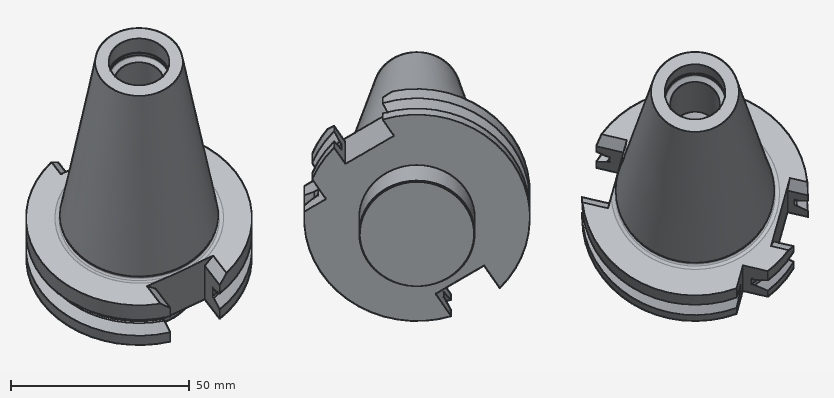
import cadquery as cq
import math

total_height = 98.25

flange_diameter = 63.5
flange_bottom = 11.2
flange_top = 29.0

groove_floor_diameter = 56.0
groove_bottom = 17.2
groove_top = 20.9
lower_land_top = 15.4
upper_land_bottom = 22.5
flank_angle = 60.0

gauge_diameter = 44.5
gauge_height = 30.1
taper_ratio = 7 / 24
neck_diameter = 43.8
neck_fillet = 0.6
relief_diameter = 47.4
relief_depth = 0.3

boss_diameter = 32.5
boss_tip_diameter = 32.0
boss_chamfer_height = 0.5

bore_diameter = 17.0
bore_depth = 6.5
undercut_diameter = 17.4
undercut_width = 1.3
undercut_step = (undercut_diameter - bore_diameter) / 2
seat_depth = 8.7
inner_bore_diameter = 14.0
inner_bore_depth = 29.5
drill_point_angle = 140.0

slot_width = 16.1
left_slot_floor = -24.8
right_slot_floor = 22.5
slot_chamfer = 2.8

notch_x = -18.6
notch_y = 18.5


def revolve_about_z(profile):
    """Revolve a closed radius-height outline about the Z axis."""
    return profile.revolve(360, (0, 0), (0, 1))


def make_body():
    flange_r = flange_diameter / 2
    groove_r = groove_floor_diameter / 2
    neck_r = neck_diameter / 2
    gauge_r = gauge_diameter / 2
    flank_slope = math.tan(math.radians(flank_angle))
    lower_flank_r = flange_r - (groove_bottom - lower_land_top) * flank_slope
    upper_flank_r = flange_r - (upper_land_bottom - groove_top) * flank_slope
    small_end_r = gauge_r - taper_ratio * (total_height - gauge_height) / 2
    relief_bottom = flange_top - relief_depth
    fillet_mid = neck_fillet * (1 - math.sqrt(0.5))
    profile = (
        cq.Workplane("XZ")
        .polyline([
            (0, 0),
            (boss_tip_diameter / 2, 0),
            (boss_diameter / 2, boss_chamfer_height),
            (boss_diameter / 2, flange_bottom),
            (flange_r, flange_bottom),
            (flange_r, lower_land_top),
            (lower_flank_r, groove_bottom),
            (groove_r, groove_bottom),
            (groove_r, groove_top),
            (upper_flank_r, groove_top),
            (flange_r, upper_land_bottom),
            (flange_r, flange_top),
            (relief_diameter / 2, flange_top),
            (neck_r + neck_fillet, relief_bottom),
        ])
        .threePointArc(
            (neck_r + fillet_mid, relief_bottom + fillet_mid),
            (neck_r, relief_bottom + neck_fillet),
        )
        .lineTo(neck_r, gauge_height - (gauge_r - neck_r))
        .lineTo(gauge_r, gauge_height)
        .lineTo(small_end_r, total_height)
        .lineTo(0, total_height)
        .close()
    )
    return revolve_about_z(profile)


def make_bore():
    inner_r = inner_bore_diameter / 2
    undercut_top = total_height - bore_depth
    undercut_bottom = undercut_top - undercut_width
    inner_bottom = total_height - inner_bore_depth
    point_depth = inner_r / math.tan(math.radians(drill_point_angle / 2))
    profile = cq.Workplane("XZ").polyline([
        (0, total_height),
        (bore_diameter / 2, total_height),
        (bore_diameter / 2, undercut_top),
        (undercut_diameter / 2, undercut_top),
        (undercut_diameter / 2, undercut_bottom),
        (bore_diameter / 2, undercut_bottom - undercut_step),
        (inner_r, total_height - seat_depth),
        (inner_r, inner_bottom),
        (0, inner_bottom - point_depth),
    ]).close()
    return revolve_about_z(profile)


def make_drive_slot(floor_x):
    """Slot through the flange with 45-degree chamfers along its top edges."""
    half = slot_width / 2
    outward = math.copysign(flange_diameter, floor_x)
    return (
        cq.Workplane("YZ", origin=(floor_x, 0, 0))
        .polyline([
            (-half, flange_bottom),
            (half, flange_bottom),
            (half, flange_top - slot_chamfer),
            (half + slot_chamfer, flange_top),
            (-half - slot_chamfer, flange_top),
            (-half, flange_top - slot_chamfer),
        ])
        .close()
        .extrude(outward)
    )


def make_notch():
    size = flange_diameter / 2
    return cq.Workplane("XY").box(
        size, size, flange_top - flange_bottom, centered=False
    ).translate((notch_x - size, notch_y, flange_bottom))


result = make_body().cut(make_bore())
for slot_floor in (left_slot_floor, right_slot_floor):
    result = result.cut(make_drive_slot(slot_floor))
result = result.cut(make_notch())